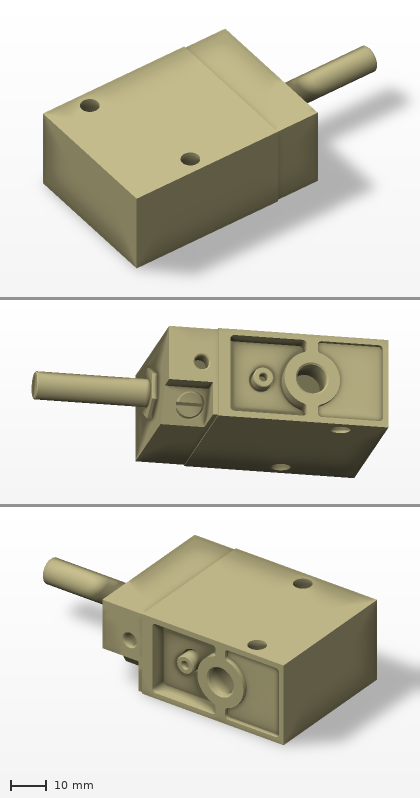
import cadquery as cq
import math


total_length = 97.0
body_width, body_length, body_height = 45.0, 49.0, 26.0
head_length = 14.1
head_inset = 0.3
nut_thickness = 1.5
nut_flats = 13.0
tube_diameter = 8.0
tube_chamfer = 0.3

mount_hole_diameter = 5.5
mount_hole_x = 17.6
mount_hole_left_y, mount_hole_right_y = 12.7, 22.2

port_y = 21.9
port_diameter, port_depth, port_chamfer = 8.5, 9.7, 0.5
port_ring_diameter = 16.0
web_width = 3.2
pocket_height = 22.5
pocket_corner_radius = 1.2
shallow_pocket_end, shallow_pocket_depth = 1.6, 1.5
deep_pocket_end, deep_pocket_depth = 45.5, 5.4

pin_y = 35.5
pin_diameter, pin_length, pin_chamfer = 5.8, 3.6, 0.3
pin_seat_diameter = 7.0
pin_hole_diameter, pin_hole_depth, pin_hole_chamfer = 2.4, 2.9, 0.2

side_hole_y, side_hole_z = 53.5, 2.7
side_hole_diameter, side_hole_depth, side_hole_chamfer = 4.2, 4.85, 0.4

notch_top_z = -3.1
notch_start_y = 50.4
ledge_depth = 5.8
slope_angle = 30.0
screw_y, screw_z = 55.2, -7.5
screw_bore_diameter, screw_bore_depth = 8.2, 2.9
screw_diameter, screw_sink, screw_chamfer = 8.0, 0.3, 0.5
slot_width, slot_depth = 1.2, 2.1

head_width = body_width - 2 * head_inset
head_height = body_height - 2 * head_inset
head_end_y = body_length + head_length
nut_end_y = head_end_y + nut_thickness
body_face_x = -body_width / 2
head_face_x = -head_width / 2
pocket_floor_x = body_face_x + deep_pocket_depth


def box_along_y(width, height, start_y, end_y):
    """Box centred on the tube axis between two Y positions."""
    block = cq.Workplane("XY").box(width, end_y - start_y, height, centered=(True, False, True))
    return block.translate((0, start_y, 0))


def plane_along_x(x, y, z):
    """Workplane whose normal points in +X, with its local X along +Y."""
    return cq.Workplane(cq.Plane(origin=(x, y, z), xDir=(0, 1, 0), normal=(1, 0, 0)))


def plane_facing_y(y):
    """Workplane on the tube axis whose normal points in +Y, with local x along Z and local y along X."""
    return cq.Workplane(cq.Plane(origin=(0, y, 0), xDir=(0, 0, 1), normal=(0, 1, 0)))


def chamfered_bore(x, y, z, diameter, depth, chamfer):
    """Cutter for a blind hole running in +X with a 45 degree chamfer at its mouth."""
    radius = diameter / 2
    bore = plane_along_x(x, y, z).circle(radius).extrude(depth)
    mouth = cq.Solid.makeCone(radius + chamfer, radius, chamfer, cq.Vector(x, y, z), cq.Vector(1, 0, 0))
    return bore.union(cq.Workplane(mouth))


def pocket(start_y, end_y, depth):
    """Cutter for a side pocket that leaves the ring around the port standing."""
    middle_y = (start_y + end_y) / 2
    block = plane_along_x(body_face_x, middle_y, 0).rect(end_y - start_y, pocket_height).extrude(depth)
    ring = plane_along_x(body_face_x, port_y, 0).circle(port_ring_diameter / 2).extrude(depth)
    return block.cut(ring).edges("|X").fillet(pocket_corner_radius)


def make_body():
    body = box_along_y(body_width, body_height, 0, body_length)
    mount_holes = (
        cq.Workplane("XY")
        .pushPoints([(-mount_hole_x, mount_hole_left_y), (mount_hole_x, mount_hole_right_y)])
        .circle(mount_hole_diameter / 2)
        .extrude(body_height / 2, both=True)
    )
    body = body.cut(mount_holes)
    body = body.cut(pocket(shallow_pocket_end, port_y - web_width / 2, shallow_pocket_depth))
    body = body.cut(pocket(port_y + web_width / 2, deep_pocket_end, deep_pocket_depth))
    return body.cut(chamfered_bore(body_face_x, port_y, 0, port_diameter, port_depth, port_chamfer))


def add_pin(body):
    seat_depth = (pin_seat_diameter - pin_diameter) / 2
    seat = cq.Solid.makeCone(
        pin_seat_diameter / 2,
        pin_diameter / 2,
        seat_depth,
        cq.Vector(pocket_floor_x, pin_y, 0),
        cq.Vector(1, 0, 0),
    )
    pin_face_x = pocket_floor_x - pin_length
    pin = plane_along_x(pin_face_x, pin_y, 0).circle(pin_diameter / 2).extrude(pin_length + seat_depth)
    pin = pin.faces("<X").chamfer(pin_chamfer)
    pin_hole = chamfered_bore(pin_face_x, pin_y, 0, pin_hole_diameter, pin_hole_depth, pin_hole_chamfer)
    return body.cut(cq.Workplane(seat)).union(pin).cut(pin_hole)


def slope_x(z):
    """X of the sloping notch wall at height z."""
    return head_face_x + ledge_depth + (notch_top_z - z) * math.tan(math.radians(slope_angle))


def cut_notch(head):
    bottom_z = -head_height / 2
    notch = (
        plane_facing_y(notch_start_y)
        .polyline(
            [
                (notch_top_z, head_face_x),
                (notch_top_z, slope_x(notch_top_z)),
                (bottom_z, slope_x(bottom_z)),
                (bottom_z, head_face_x),
            ]
        )
        .close()
        .extrude(head_end_y - notch_start_y)
    )
    return head.cut(notch)


def add_screw(head):
    angle = math.radians(slope_angle)
    wall = cq.Plane(
        origin=(slope_x(screw_z), screw_y, screw_z),
        xDir=(0, 1, 0),
        normal=(-math.cos(angle), 0, -math.sin(angle)),
    )
    bore = cq.Workplane(wall).circle(screw_bore_diameter / 2).extrude(-screw_bore_depth)
    screw = (
        cq.Workplane(wall)
        .workplane(offset=-screw_bore_depth)
        .circle(screw_diameter / 2)
        .extrude(screw_bore_depth - screw_sink)
        .faces(cq.selectors.DirectionMinMaxSelector(wall.zDir, True))
        .chamfer(screw_chamfer)
    )
    slot = (
        cq.Workplane(wall)
        .workplane(offset=-screw_sink)
        .rect(screw_diameter, slot_width)
        .extrude(-slot_depth)
    )
    return head.cut(bore).union(screw.cut(slot))


def make_head():
    head = box_along_y(head_width, head_height, body_length, head_end_y)
    side_hole = chamfered_bore(
        head_face_x, side_hole_y, side_hole_z, side_hole_diameter, side_hole_depth, side_hole_chamfer
    )
    return add_screw(cut_notch(head.cut(side_hole)))


def make_tube():
    """Armature tube with the hexagon nut at its foot, corners pointing up and down."""
    nut_corners = nut_flats / math.cos(math.pi / 6)
    nut = plane_facing_y(head_end_y).polygon(6, nut_corners).extrude(nut_thickness)
    tube = plane_facing_y(nut_end_y).circle(tube_diameter / 2).extrude(total_length - nut_end_y)
    return nut.union(tube.faces(">Y").chamfer(tube_chamfer))


result = add_pin(make_body()).union(make_head()).union(make_tube())